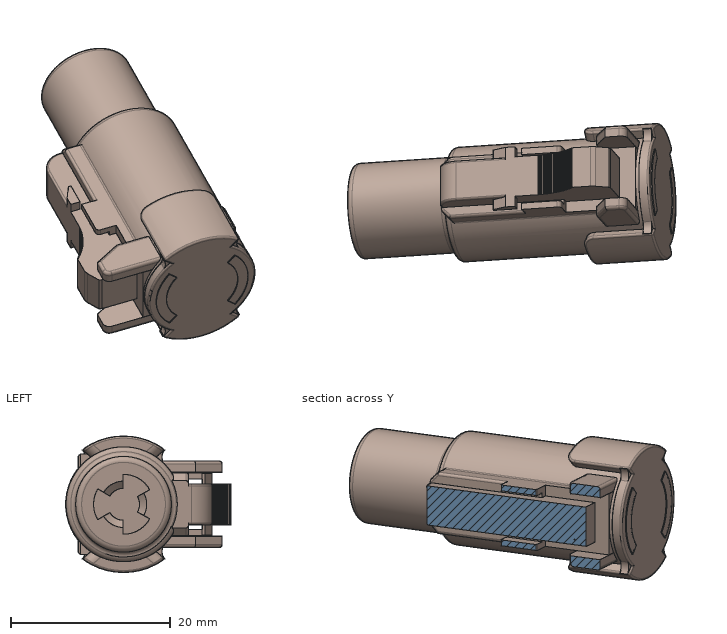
import cadquery as cq
import math


overall_length = 39.47
overall_depth = 20.68

plug_radius = 6.0
plug_edge_fillet = 0.75
neck_radius = 6.6
shoulder_x = 12.75
body_radius = 7.2
shoulder_fillet = 0.75
collar_start_x = 38.0
collar_radius = 7.25
body_end_x = 39.33
rear_edge_fillet = 0.25

socket_radius = 3.75
socket_depth = 0.85
key_mouth_radius = 2.9
key_floor_radius = 2.0
key_root_radius = 0.5
key_overlap = 0.5
key_half_angle = 29.0
key_angles = (60, 180, 300)

pad_height = overall_length - body_end_x
pad_inner_radius = 4.82
pad_outer_radius = 6.2
pad_half_angle = 44.3

wing_start_x = 30.2
wing_radius = 8.55
wing_root_radius = 6.7
wing_half_angle = 37.0
wing_root_half_angle = 33.6
wing_corner_fillet = 1.35
wing_edge_fillet = 0.25

fairing_foot = (5.25, 4.93)
fairing_hollow = (4.83, 5.88)
fairing_top = (5.17, 6.83)

block_start_x = 32.6
block_end_x = 36.8
block_y = 5.7
block_z = 6.3
block_chamfer = 0.3

latch_start_x = 12.8
latch_end_x = 37.57
rail_half_width = 3.97
rail_y = -8.16
rail_corner_chamfer = 1.0
rail_edge_fillet = 0.35
rail_root_fillet = 0.25
base_y = -7.24

guard_start_x = 23.55
guard_end_x = 28.6
guard_y = -9.85
guard_inner_z = 3.15
guard_fillet = 0.5

lever_half_width = 2.57
lever_y = -11.1
lever_nose_radius = 2.6
lever_edge_fillet = 0.25
lever_end_x = 35.55
thumb_y = collar_radius - overall_depth
thumb_crest_end_x = 33.3
thumb_slope = ((33.88, -13.25), (35.43, -12.35), (lever_end_x, -12.0))
grip_start_x = 25.8
grip_end_x = 30.9
grip_radius = 7.5
grip_teeth = 32

tab_start_x = 19.94
tab_end_x = 22.97
tab_slope_end_x = 21.75
tab_slope_start_y = -10.2
tab_half_width = 3.87

ear_start_x = 33.0
ear_slope_y = -9.0
ear_tip_x = 34.92
ear_y = -12.35
ear_inner_z = 4.0
ear_outer_z = 5.43
ear_corner_radius = 0.9
ear_edge_fillet = 0.4

selection_margin = 0.1


def mirrored(solid):
    """The solid together with its mirror image across Z = 0."""
    return solid.union(solid.mirror("XY"))


def box(x0, x1, y0, y1, z0, z1):
    return cq.Workplane("XY").box(x1 - x0, y1 - y0, z1 - z0, centered=False).translate((x0, y0, z0))


def plate(outline, z0, z1):
    """Extrude a closed XY outline from z0 to z1."""
    return outline.close().extrude(z1 - z0).translate((0, 0, z0))


def arc_bend(radius):
    """Distance from a square corner to the middle of its round, along each side."""
    return radius * (1 - math.sqrt(0.5))


def ring_sector(inner, outer, middle, half_angle, x0, x1, inner_half_angle=None):
    """Sector of a ring around X, centred at an angle in degrees from +Y towards +Z.

    Its sides are radial unless a different half angle is given for its inner arc.
    """
    if inner_half_angle is None:
        inner_half_angle = half_angle

    def at(radius, offset):
        angle = math.radians(middle + offset)
        return radius * math.cos(angle), radius * math.sin(angle)

    return (
        cq.Workplane("YZ", origin=(x0, 0, 0))
        .moveTo(*at(inner, -inner_half_angle))
        .lineTo(*at(outer, -half_angle))
        .threePointArc(at(outer, 0), at(outer, half_angle))
        .lineTo(*at(inner, inner_half_angle))
        .threePointArc(at(inner, 0), at(inner, -inner_half_angle))
        .close()
        .extrude(x1 - x0)
    )


def make_body():
    neck = neck_radius - plug_radius
    nose = arc_bend(plug_edge_fillet)
    bend = arc_bend(neck)
    shoulder_bend = arc_bend(shoulder_fillet)
    profile = (
        cq.Workplane("XY")
        .lineTo(0, plug_radius - plug_edge_fillet)
        .threePointArc((nose, plug_radius - nose), (plug_edge_fillet, plug_radius))
        .lineTo(shoulder_x - neck, plug_radius)
        .threePointArc((shoulder_x - bend, plug_radius + bend), (shoulder_x, neck_radius))
        .threePointArc(
            (shoulder_x + shoulder_bend, body_radius - shoulder_bend),
            (shoulder_x + shoulder_fillet, body_radius),
        )
        .lineTo(collar_start_x, body_radius)
        .lineTo(collar_start_x, collar_radius)
        .lineTo(body_end_x, collar_radius)
        .lineTo(body_end_x, 0)
        .close()
    )
    body = profile.revolve(360, (0, 0, 0), (1, 0, 0))
    return body.faces(">X").edges().fillet(rear_edge_fillet)


def make_socket():
    """Recess in the plug face, narrowed by three keys with tapered inner walls."""
    socket = cq.Workplane("YZ").circle(socket_radius).extrude(socket_depth)
    core = (
        cq.Workplane("YZ")
        .circle(key_mouth_radius)
        .workplane(offset=socket_depth)
        .circle(key_floor_radius)
        .loft()
    )
    for angle in key_angles:
        key = ring_sector(
            key_root_radius, socket_radius + key_overlap, angle, key_half_angle, 0, socket_depth
        )
        socket = socket.cut(key.cut(core))
    return socket


def make_pads():
    """Two raised pads on the rear face."""
    pads = None
    for angle in (0, 180):
        pad = ring_sector(
            pad_inner_radius, pad_outer_radius, angle, pad_half_angle,
            body_end_x - pad_height, body_end_x + pad_height,
        )
        pads = pad if pads is None else pads.union(pad)
    return pads


def make_wings():
    wing = ring_sector(
        wing_root_radius, wing_radius, 90, wing_half_angle,
        wing_start_x, body_end_x, wing_root_half_angle,
    )
    front_corners = cq.selectors.BoxSelector(
        (wing_start_x - selection_margin, -wing_radius, 0),
        (wing_start_x + selection_margin, wing_radius, wing_radius),
    )
    wing = wing.edges(front_corners).edges("%LINE").fillet(wing_corner_fillet)
    wing = wing.faces("<X").edges(">Z").fillet(wing_edge_fillet)
    wing = wing.faces(">X").edges(">Z").fillet(rear_edge_fillet)
    return mirrored(wing)


def make_fairings():
    foot_y, foot_z = fairing_foot
    hollow_y, hollow_z = fairing_hollow
    top_y, top_z = fairing_top
    fairing = (
        cq.Workplane("YZ", origin=(collar_start_x, 0, 0))
        .moveTo(foot_y, foot_z)
        .threePointArc(fairing_hollow, fairing_top)
        .lineTo(-top_y, top_z)
        .threePointArc((-hollow_y, hollow_z), (-foot_y, foot_z))
        .close()
        .extrude(body_end_x - rear_edge_fillet - collar_start_x)
    )
    return mirrored(fairing)


def make_blocks():
    block = box(block_start_x, block_end_x, 0, block_y, 0, block_z)
    block = block.edges(">Y and |Z").chamfer(block_chamfer)
    block = block.faces(">Z").edges(">Y").chamfer(block_chamfer)
    return mirrored(block)


def make_rail():
    rail = box(latch_start_x, guard_end_x, rail_y, 0, -rail_half_width, rail_half_width)
    rail = rail.edges("<X and |Y").chamfer(rail_corner_chamfer)
    rail = rail.faces("<Y").edges("not |Z").fillet(rail_edge_fillet)
    base_start_x = latch_start_x + rail_corner_chamfer
    base = box(base_start_x, latch_end_x, base_y, 0, -rail_half_width, rail_half_width)
    return rail.union(base)


def fillet_rail_sides(part):
    """Round the inner corners where the rail sides leave the body."""
    root_y = -math.sqrt(body_radius**2 - rail_half_width**2)
    for z in (-rail_half_width, rail_half_width):
        root = cq.selectors.BoxSelector(
            (latch_start_x, root_y - selection_margin, z - selection_margin),
            (latch_end_x, root_y + selection_margin, z + selection_margin),
        )
        part = part.edges(root).edges("|X").fillet(rail_root_fillet)
    return part


def make_guards():
    guard = box(guard_start_x, guard_end_x, guard_y, 0, guard_inner_z, rail_half_width)
    guard = guard.edges(">X and <Y").fillet(guard_fillet)
    return mirrored(guard)


def grip_points():
    """Stepped points that follow a hollow arc from the lever face to the thumb rest."""
    chord_x = grip_end_x - grip_start_x
    chord_y = thumb_y - lever_y
    chord = math.hypot(chord_x, chord_y)
    centre_distance = math.sqrt(grip_radius**2 - (chord / 2) ** 2)
    centre_x = grip_start_x + chord_x / 2 + centre_distance * chord_y / chord
    centre_y = lever_y + chord_y / 2 - centre_distance * chord_x / chord
    points = []
    last_y = lever_y
    for tooth in range(1, grip_teeth + 1):
        x = grip_start_x + chord_x * tooth / grip_teeth
        y = centre_y + math.sqrt(grip_radius**2 - (x - centre_x) ** 2)
        points += [(x, last_y), (x, y)]
        last_y = y
    return points


def make_lever():
    nose = arc_bend(lever_nose_radius)
    bar_outline = (
        cq.Workplane("XY")
        .moveTo(latch_start_x, 0)
        .lineTo(latch_start_x, lever_y + lever_nose_radius)
        .threePointArc(
            (latch_start_x + nose, lever_y + nose),
            (latch_start_x + lever_nose_radius, lever_y),
        )
        .lineTo(tab_slope_end_x, lever_y)
        .lineTo(tab_slope_end_x, 0)
    )
    bar = plate(bar_outline, -lever_half_width, lever_half_width)
    outer_z = lever_half_width + selection_margin
    outer_edge = cq.selectors.BoxSelector(
        (latch_start_x - selection_margin, lever_y - selection_margin, -outer_z),
        (tab_slope_end_x - selection_margin, lever_y + lever_nose_radius - selection_margin, outer_z),
    )
    bar = bar.edges(outer_edge).edges("not |Z").fillet(lever_edge_fillet)
    thumb_outline = (
        cq.Workplane("XY")
        .moveTo(tab_slope_end_x, 0)
        .lineTo(tab_slope_end_x, lever_y)
        .lineTo(grip_start_x, lever_y)
    )
    for point in grip_points():
        thumb_outline = thumb_outline.lineTo(*point)
    thumb_outline = thumb_outline.lineTo(thumb_crest_end_x, thumb_y)
    for point in thumb_slope:
        thumb_outline = thumb_outline.lineTo(*point)
    thumb_outline = thumb_outline.lineTo(lever_end_x, 0)
    return bar.union(plate(thumb_outline, -lever_half_width, lever_half_width))


def make_tabs():
    outline = cq.Workplane("XY").polyline(
        [
            (tab_start_x, guard_y),
            (tab_end_x, guard_y),
            (tab_end_x, lever_y),
            (tab_slope_end_x, lever_y),
            (tab_start_x, tab_slope_start_y),
        ]
    )
    return plate(outline, -tab_half_width, tab_half_width)


def make_ears():
    bend = arc_bend(ear_corner_radius)
    outline = (
        cq.Workplane("XY")
        .moveTo(ear_start_x, 0)
        .lineTo(latch_end_x, 0)
        .lineTo(latch_end_x, ear_y + ear_corner_radius)
        .threePointArc((latch_end_x - bend, ear_y + bend), (latch_end_x - ear_corner_radius, ear_y))
        .lineTo(ear_tip_x, ear_y)
        .lineTo(ear_start_x, ear_slope_y)
    )
    ear = plate(outline, 0, ear_outer_z)
    ear = ear.faces(">Z").edges("not >Y").fillet(ear_edge_fillet)
    inner_space = box(ear_start_x, latch_end_x, ear_y, 0, 0, ear_inner_z)
    return mirrored(ear.cut(inner_space))


result = make_body().cut(make_socket())
result = fillet_rail_sides(result.union(make_rail()))
for feature in (
    make_wings(),
    make_pads(),
    make_fairings(),
    make_blocks(),
    make_guards(),
    make_lever(),
    make_tabs(),
    make_ears(),
):
    result = result.union(feature)